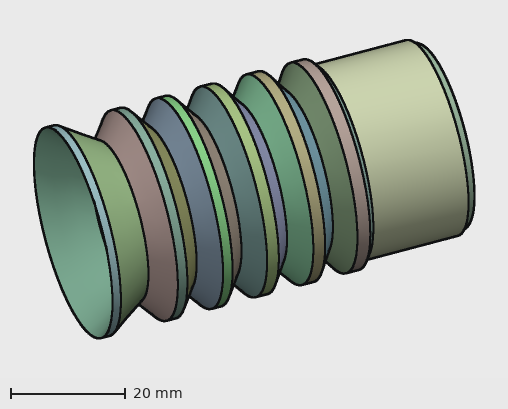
import cadquery as cq

length = 68.6
outer_radius = 38.0 / 2
sleeve_radius = 35.3 / 2

lip_width = 1.6
flare_depth = 8.45
flare_root_radius = 29.1 / 2

crests = [(12.2, 14.0), (20.65, 22.4), (28.9, 31.1), (37.5, 39.7), (45.75, 48.15)]
valley_positions = [17.3, 25.65, 34.15, 42.75]
valley_radius = 14.95

sleeve_start = 49.25
bead_width = 1.6
bead_edge_radius = 16.5
bead_crown_radius = 16.95
sleeve_end = length - bead_width

bore_radius = 25.5 / 2
bore_floor = sleeve_start
through_hole_radius = 18.65 / 2


def bellows_points():
    """Radius and Y of the crest and valley corners, from mouth to sleeve."""
    points = []
    for index, (crest_start, crest_end) in enumerate(crests):
        points.append((outer_radius, crest_start))
        points.append((outer_radius, crest_end))
        if index < len(valley_positions):
            points.append((valley_radius, valley_positions[index]))
    return points


def half_profile():
    """Wall section on the +X side of the axis, with a sharp edge at the mouth."""
    profile = cq.Workplane("XY").moveTo(outer_radius, 0)
    profile = profile.lineTo(outer_radius, lip_width)
    profile = profile.lineTo(flare_root_radius, flare_depth)
    for radius, position in bellows_points():
        profile = profile.lineTo(radius, position)

    profile = profile.lineTo(sleeve_radius, sleeve_start)
    profile = profile.lineTo(sleeve_radius, sleeve_end)
    profile = profile.lineTo(bead_edge_radius, sleeve_end)
    bead_crown = (bead_crown_radius, sleeve_end + bead_width / 2)
    profile = profile.threePointArc(bead_crown, (bead_edge_radius, length))

    profile = profile.lineTo(through_hole_radius, length)
    profile = profile.lineTo(through_hole_radius, bore_floor)
    profile = profile.lineTo(bore_radius, bore_floor)
    profile = profile.lineTo(bore_radius, flare_depth)
    return profile.close()


result = half_profile().revolve(360, (0, 0, 0), (0, 1, 0))